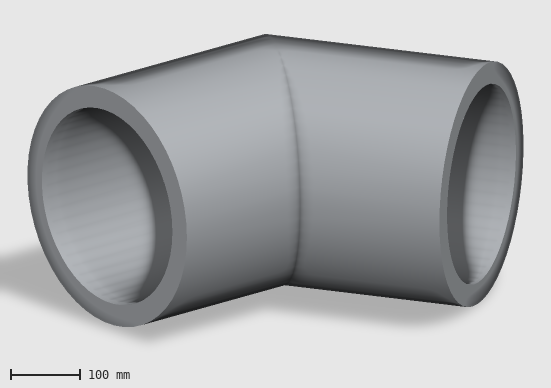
import cadquery as cq
import math

outer_diameter = 355.0
inner_diameter = 290.5
leg_length = 315.0
turn_angle = 60.0

half_turn = math.radians(turn_angle / 2)
mitre_normal = cq.Vector(math.sin(half_turn), math.cos(half_turn), 0)
mitre_plane = cq.Plane(origin=(0, 0, 0), xDir=(0, 0, 1), normal=mitre_normal)

long_side = leg_length + outer_diameter / 2 * math.tan(half_turn)


def inlet_leg():
    """Pipe running along +Y, cut off at the mitre plane."""
    pipe = (
        cq.Workplane("XZ", origin=(0, -leg_length, 0))
        .circle(outer_diameter / 2)
        .circle(inner_diameter / 2)
        .extrude(-long_side)
    )
    beyond_mitre = (
        cq.Workplane(mitre_plane)
        .rect(4 * outer_diameter, 4 * outer_diameter)
        .extrude(2 * long_side)
    )
    return pipe.cut(beyond_mitre)


inlet = inlet_leg()
outlet = inlet.mirror("XZ").rotate((0, 0, 0), (0, 0, 1), -turn_angle)

result = inlet.union(outlet)